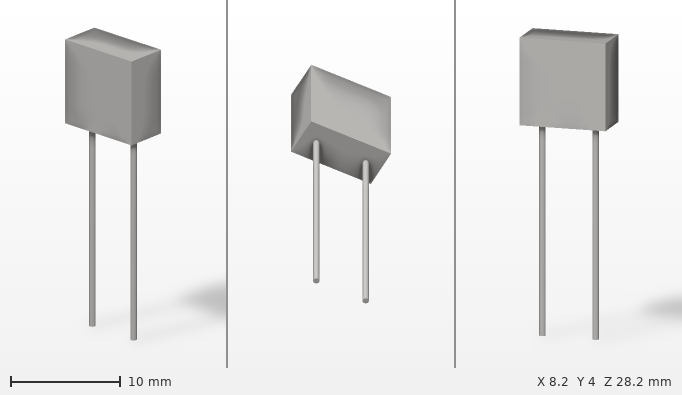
import cadquery as cq

total_height = 28.2
body_width = 8.2
body_depth = 4.0
body_height = 8.2

lead_diameter = 0.6
lead_spacing = 5.08
lead_length = total_height - body_height


def make_body():
    """Rectangular component body standing on the plane Z = 0."""
    return cq.Workplane("XY").box(body_width, body_depth, body_height, centered=(True, True, False))


def make_lead(x):
    """Straight round wire hanging from the underside of the body."""
    return cq.Workplane("XY").center(x, 0).circle(lead_diameter / 2).extrude(-lead_length)


body = make_body()
leads = [make_lead(side * lead_spacing / 2) for side in (-1, 1)]

result = cq.Compound.makeCompound([body.val(), *[lead.val() for lead in leads]])